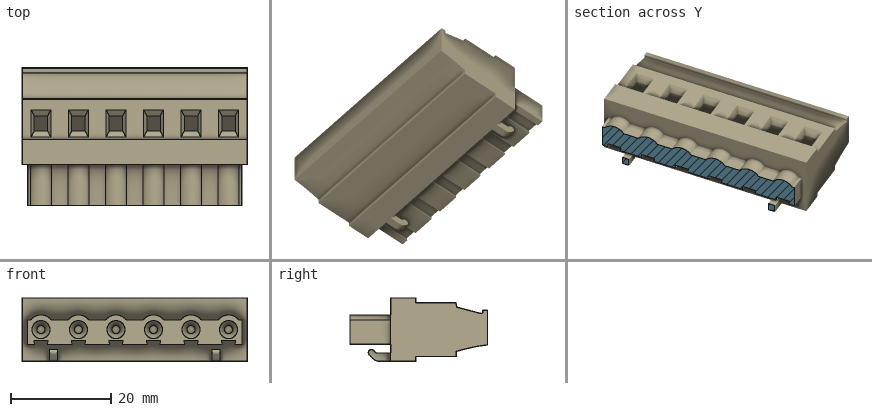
import cadquery as cq
import math


length = 45.0
pole_count = 6
pitch = length / pole_count
pole_xs = [(i - (pole_count - 1) / 2) * pitch for i in range(pole_count)]

height = 12.7
housing_depth = 19.4
collar_depth = 5.05
collar_step = 0.95
middle_end = 13.15
tail_step_lean = 0.1
tail_top_front = 10.85
tail_top_back = 9.5
tail_bottom_front = 2.0
tail_bottom_back = 3.3
tail_bottom_hollow = 0.15
lip_top = 10.25
lip_face_y = 18.35
lip_round = 0.22
lip_chamfer = 0.2

plug_length = 8.2
plug_width = 42.85
plug_bottom = 3.38
plug_top = 8.25
bump_top = 9.25
bump_radius = 2.6
key_height = 0.75
key_width_bottom = 2.5
key_width_top = 2.9

socket_z = 6.35
socket_mouth_diameter = 3.6
socket_end_diameter = 1.6
socket_depth = 2.02

window_y = 8.25
window_width = 3.9
window_depth_y = 5.35
well_width = 2.7
well_depth_y = 3.05
funnel_depth = 1.15
well_floor_z = socket_z

hook_x = 16.25
hook_width = 1.55
hook_thickness = 1.65
hook_tip_y = -3.85
hook_tip_z = 1.75
hook_tip_radius = 0.65
hook_heel_radius = 1.55

selection_margin = 0.05


def extrude_along_x(profile, width, center_x=0.0):
    """Turn a YZ profile into a bar of the given width, centred on center_x."""
    return profile.extrude(width / 2, both=True).translate((center_x, 0, 0))


def make_housing():
    middle_top = height - collar_step
    sag_point = (
        (middle_end + housing_depth) / 2,
        (tail_bottom_front + tail_bottom_back) / 2 + tail_bottom_hollow,
    )
    profile = (
        cq.Workplane("YZ")
        .moveTo(0, 0)
        .lineTo(0, height)
        .lineTo(collar_depth, height)
        .lineTo(collar_depth, middle_top)
        .lineTo(middle_end - tail_step_lean, middle_top)
        .lineTo(middle_end + tail_step_lean, tail_top_front)
        .lineTo(lip_face_y, tail_top_back)
        .lineTo(lip_face_y, lip_top)
        .lineTo(housing_depth - lip_chamfer, lip_top)
        .lineTo(housing_depth, lip_top - lip_chamfer)
        .lineTo(housing_depth, tail_bottom_back)
        .threePointArc(sag_point, (middle_end, tail_bottom_front))
        .lineTo(middle_end, collar_step)
        .lineTo(collar_depth, collar_step)
        .lineTo(collar_depth, 0)
        .close()
    )
    housing = extrude_along_x(profile, length)

    lip_face_edges = cq.selectors.BoxSelector(
        (-length, lip_face_y - selection_margin, tail_top_back - selection_margin),
        (length, lip_face_y + selection_margin, lip_top + selection_margin),
    )
    return housing.edges("|X").edges(lip_face_edges).fillet(lip_round)


def make_plug():
    """Bar with one rounded bump over each pole and a dovetail groove below it."""
    bar_height = plug_top - plug_bottom
    plug = cq.Workplane("XY").box(plug_width, plug_length, bar_height, centered=(True, False, False))
    plug = plug.translate((0, -plug_length, plug_bottom))

    bump_z = bump_top - bump_radius
    bumps = (
        cq.Workplane("XZ")
        .pushPoints([(x, bump_z) for x in pole_xs])
        .circle(bump_radius)
        .extrude(plug_length)
    )
    plug = plug.union(bumps)

    for x in pole_xs:
        groove = (
            cq.Workplane("XZ")
            .moveTo(x - key_width_bottom / 2, plug_bottom)
            .lineTo(x - key_width_top / 2, plug_bottom + key_height)
            .lineTo(x + key_width_top / 2, plug_bottom + key_height)
            .lineTo(x + key_width_bottom / 2, plug_bottom)
            .close()
            .extrude(plug_length)
        )
        plug = plug.cut(groove)
    return plug


def make_socket(x):
    """Tapered pin socket that narrows from the plug's end face inward."""
    return cq.Workplane("XY").add(
        cq.Solid.makeCone(
            socket_mouth_diameter / 2,
            socket_end_diameter / 2,
            socket_depth,
            pnt=cq.Vector(x, -plug_length, socket_z),
            dir=cq.Vector(0, 1, 0),
        )
    )


def make_window(x):
    """Funnel in the housing top that leads into a straight rectangular well."""
    window_top = height - collar_step
    funnel = (
        cq.Workplane("XY", origin=(x, window_y, window_top))
        .rect(window_width, window_depth_y)
        .workplane(offset=-funnel_depth)
        .rect(well_width, well_depth_y)
        .loft(ruled=True)
    )
    well_height = window_top - funnel_depth - well_floor_z
    well = (
        cq.Workplane("XY", origin=(x, window_y, well_floor_z))
        .rect(well_width, well_depth_y)
        .extrude(well_height)
    )
    return funnel.union(well)


def make_hook(x):
    """Latch arm along the underside that turns up at 45 degrees into a rounded tip."""
    sin45 = math.sin(math.radians(45))
    tip_offset = hook_tip_radius * sin45
    tip_inner = (hook_tip_y + tip_offset, hook_tip_z + tip_offset)
    tip_outer = (hook_tip_y - tip_offset, hook_tip_z - tip_offset)
    tip_end = (hook_tip_y - tip_offset, hook_tip_z + tip_offset)

    arm_corner_y = tip_inner[0] + (tip_inner[1] - hook_thickness)
    heel_top_z = hook_heel_radius * (1 - sin45)
    heel_top_y = tip_outer[0] + (tip_outer[1] - heel_top_z)
    heel_end_y = heel_top_y + hook_heel_radius * sin45

    profile = (
        cq.Workplane("YZ")
        .moveTo(0, 0)
        .lineTo(0, hook_thickness)
        .lineTo(arm_corner_y, hook_thickness)
        .lineTo(*tip_inner)
        .threePointArc(tip_end, tip_outer)
        .lineTo(heel_top_y, heel_top_z)
        .tangentArcPoint((heel_end_y, 0), relative=False)
        .close()
    )
    return extrude_along_x(profile, hook_width, x)


result = make_housing().union(make_plug())
for side in (-1, 1):
    result = result.union(make_hook(side * hook_x))
for pole_x in pole_xs:
    result = result.cut(make_socket(pole_x))
    result = result.cut(make_window(pole_x))